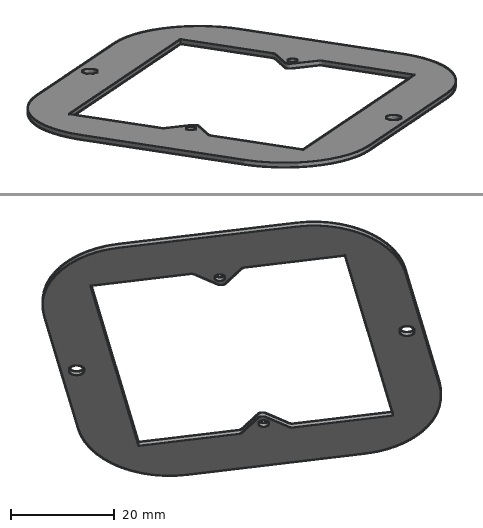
import cadquery as cq

side = 71.0
thickness = 1.0
corner_radius = 17.95
opening_side = 50.0

tab_length = 4.9
tab_base_width = 2 * tab_length
tab_fillet = 1.0

tab_hole_diameter = 2.0
tab_hole_offset = 22.8
side_hole_diameter = 3.0
side_hole_offset = 32.45


def make_opening():
    """Square opening notched by a rounded triangular tab at +Y and at -Y."""
    half_opening = opening_side / 2
    half_base = tab_base_width / 2
    apex_y = half_opening - tab_length
    outline = [
        (-half_opening, -half_opening),
        (-half_base, -half_opening),
        (0, -apex_y),
        (half_base, -half_opening),
        (half_opening, -half_opening),
        (half_opening, half_opening),
        (half_base, half_opening),
        (0, apex_y),
        (-half_base, half_opening),
        (-half_opening, half_opening),
    ]
    opening = cq.Workplane("XY").polyline(outline).close().extrude(thickness)
    tab_zone = cq.selectors.BoxSelector(
        (-tab_base_width, -side, -thickness),
        (tab_base_width, side, 2 * thickness),
    )
    return opening.edges("|Z").edges(tab_zone).fillet(tab_fillet)


def make_plate():
    """Square plate with rounded corners."""
    plate = cq.Workplane("XY").rect(side, side).extrude(thickness)
    return plate.edges("|Z").fillet(corner_radius)


def make_holes(centres, diameter):
    """Cylinders that cut round holes through the full thickness."""
    return cq.Workplane("XY").pushPoints(centres).circle(diameter / 2).extrude(thickness)


result = make_plate().cut(make_opening())
result = result.cut(make_holes([(0, tab_hole_offset), (0, -tab_hole_offset)], tab_hole_diameter))
result = result.cut(make_holes([(side_hole_offset, 0), (-side_hole_offset, 0)], side_hole_diameter))